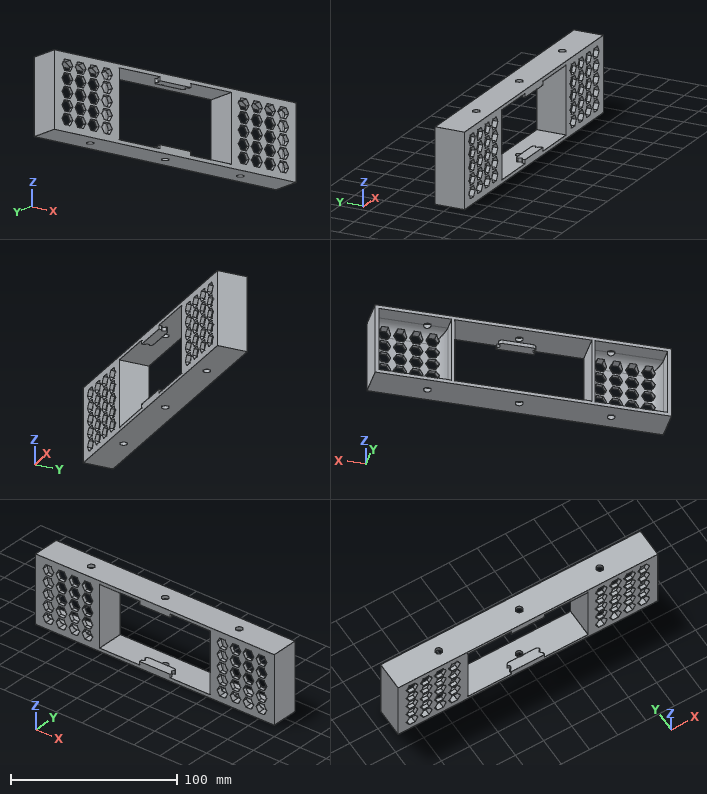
import cadquery as cq
import math

LENGTH = 184.0
DEPTH = 20.0
HEIGHT = 50.0
WALL = 2.5

OPENING_LENGTH = 85.0

BAY_CENTER_X = 67.0
BAY_LENGTH = 45.0
BAY_FILLET = 8.0

HEX_ACROSS_FLATS = 7.0
HEX_COLUMNS = 4
HEX_ROWS = 5
HEX_PITCH_X = 10.0
HEX_GAP_Z = 1.5

TAB_LENGTH = 23.5
TAB_DEPTH = 6.75
TAB_HEIGHT = 2.5
TAB_CORNER_RADIUS = 2.5
TAB_NOTCH_RADIUS = 1.5
TAB_NOTCH_Y = 3.5

CENTER_HOLE_DIAMETER = 4.6
SIDE_HOLE_DIAMETER = 4.5
HOLE_SPACING = 57.0

inner_height = HEIGHT - 2 * WALL
hex_across_corners = HEX_ACROSS_FLATS / math.cos(math.radians(30))
hex_pitch_z = HEX_ACROSS_FLATS + HEX_GAP_Z
hex_cut_depth = WALL + BAY_FILLET


def block(length, depth, height):
    """Box centred on X and Z, with its front face at Y = 0."""
    return cq.Workplane("XY").box(length, depth, height, centered=(True, False, True))


def make_bay():
    """Rear pocket whose front edges are rounded."""
    bay = block(BAY_LENGTH, DEPTH - WALL, inner_height)
    return bay.faces("<Y").edges().fillet(BAY_FILLET).translate((0, WALL, 0))


def make_grille():
    """Hexagonal holes, deep enough to clear the rounded bay edges."""
    return (
        cq.Workplane("XZ")
        .rarray(HEX_PITCH_X, hex_pitch_z, HEX_COLUMNS, HEX_ROWS)
        .polygon(6, hex_across_corners)
        .extrude(-hex_cut_depth)
    )


def make_tab():
    """Tab with rounded rear corners and a round notch in each end."""
    tab = block(TAB_LENGTH, TAB_DEPTH, TAB_HEIGHT).edges("|Z and >Y").fillet(TAB_CORNER_RADIUS)
    notches = (
        cq.Workplane("XY")
        .pushPoints([(-TAB_LENGTH / 2, TAB_NOTCH_Y), (TAB_LENGTH / 2, TAB_NOTCH_Y)])
        .circle(TAB_NOTCH_RADIUS)
        .extrude(TAB_HEIGHT / 2, both=True)
    )
    return tab.cut(notches)


def make_vertical_hole(x, diameter):
    """Cylinder through the full height at mid depth."""
    return cq.Workplane("XY").center(x, DEPTH / 2).circle(diameter / 2).extrude(HEIGHT / 2, both=True)


result = block(LENGTH, DEPTH, HEIGHT).cut(block(OPENING_LENGTH, DEPTH, inner_height))

for side in (-1, 1):
    side_offset = (side * BAY_CENTER_X, 0, 0)
    result = result.cut(make_bay().translate(side_offset))
    result = result.cut(make_grille().translate(side_offset))
    tab_z = side * (inner_height - TAB_HEIGHT) / 2
    result = result.union(make_tab().translate((0, 0, tab_z)))
    result = result.cut(make_vertical_hole(side * HOLE_SPACING, SIDE_HOLE_DIAMETER))

result = result.cut(make_vertical_hole(0, CENTER_HOLE_DIAMETER))